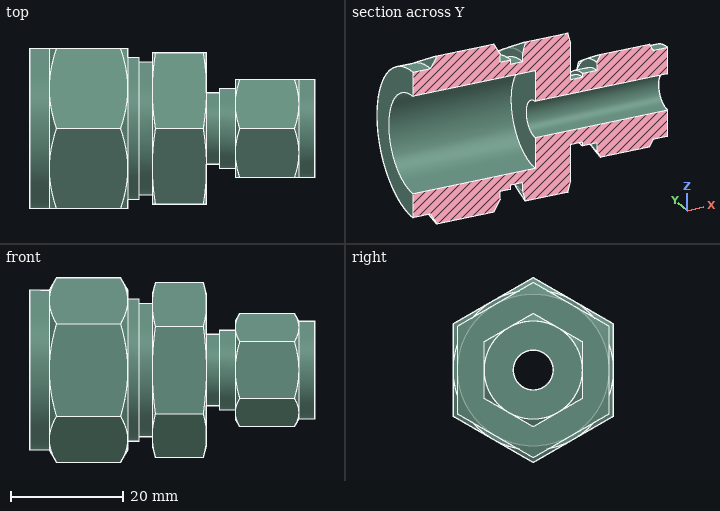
import cadquery as cq
import math


large_rim_end = 3.5
large_nut_end = 17.5
collar_end = 19.5
body_hex_start = 21.85
body_hex_end = 31.5
neck_end = 33.8
small_nut_start = 36.65
small_nut_end = 47.95
total_length = 50.8

large_nut_flats = 28.55
body_flats = 27.05
small_nut_flats = 17.5

collar_diameter = 25.4
large_thread_diameter = 23.75
neck_diameter = 12.8
small_thread_diameter = 14.3

tube_bore_diameter = 19.05
tube_bore_depth = 24.4
through_bore_diameter = 7.05

nut_chamfer_angle = 30
body_chamfer_angle = 15

cone_overrun = 0.5


def cylinder(start, end, diameter):
    """Round section between two stations on the X axis."""
    return cq.Workplane("YZ", origin=(start, 0, 0)).circle(diameter / 2).extrude(end - start)


def chamfered_hex(start, end, flats, chamfer_angle):
    """Hexagon with corners up and down, turned conically at both ends."""
    corner_diameter = flats / math.cos(math.radians(30))
    prism = (
        cq.Workplane("YZ", origin=(start, 0, 0))
        .transformed(rotate=(0, 0, 90))
        .polygon(6, corner_diameter)
        .extrude(end - start)
    )
    inner_radius = flats / 2
    outer_radius = corner_diameter / 2 + cone_overrun
    run = (outer_radius - inner_radius) * math.tan(math.radians(chamfer_angle))
    turned_blank = (
        cq.Workplane("XY")
        .moveTo(start, 0)
        .lineTo(start, inner_radius)
        .lineTo(start + run, outer_radius)
        .lineTo(end - run, outer_radius)
        .lineTo(end, inner_radius)
        .lineTo(end, 0)
        .close()
        .revolve(360, (0, 0, 0), (1, 0, 0))
    )
    return prism.intersect(turned_blank)


large_nut = cylinder(0, large_rim_end, large_nut_flats).union(
    chamfered_hex(large_rim_end, large_nut_end, large_nut_flats, nut_chamfer_angle)
)

body = (
    cylinder(large_nut_end, collar_end, collar_diameter)
    .union(cylinder(collar_end, body_hex_start, large_thread_diameter))
    .union(chamfered_hex(body_hex_start, body_hex_end, body_flats, body_chamfer_angle))
    .union(cylinder(body_hex_end, neck_end, neck_diameter))
    .union(cylinder(neck_end, small_nut_start, small_thread_diameter))
)

small_nut = chamfered_hex(
    small_nut_start, small_nut_end, small_nut_flats, nut_chamfer_angle
).union(cylinder(small_nut_end, total_length, small_nut_flats))

tube_bore = cylinder(0, tube_bore_depth, tube_bore_diameter)
through_bore = cylinder(0, total_length, through_bore_diameter)

result = large_nut.union(body).union(small_nut).cut(tube_bore).cut(through_bore)